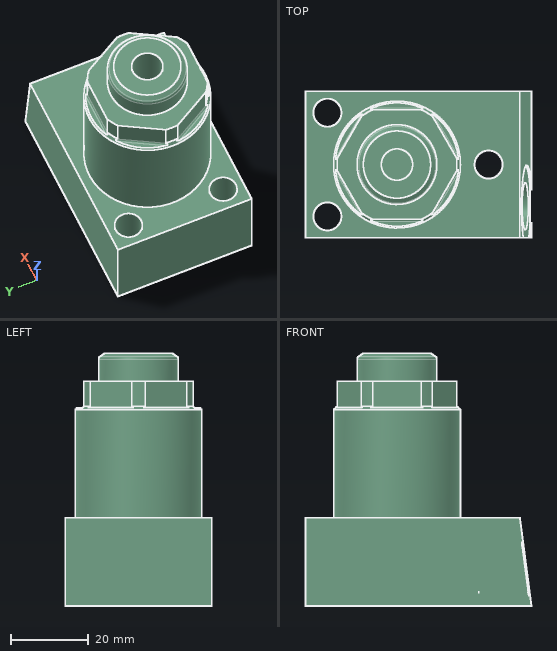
import cadquery as cq
import math

bottom_length = 58.7
top_length = 55.7
block_width = 38.1
block_height = 23.0
total_height = 65.7
slope_angle = math.degrees(math.atan2(bottom_length - top_length, block_height))
mid_width = block_width / 2

mount_diameter = 7.2
rear_hole_x = 5.7
rear_hole_offset = 13.45
front_hole_x = 47.55

axis_x = 23.8
barrel_radius = 16.5
barrel_top = 51.0
nut_radius = 15.55
nut_base = barrel_top + barrel_radius - nut_radius
nut_top = 58.4
boss_radius = 10.4
boss_edge_z = 64.05
cone_base_radius = 10.0
cone_base_z = 64.8
boss_top_radius = 8.75
edge_bulge_radius = 10.28
edge_bulge_z = 64.5
bore_diameter = 8.15
bore_depth = 19.7

flat_count = 6
flat_distance = 14.25
ledge_z = 51.4
ledge_round = 0.45

port_y = 8.2
port_z = 9.65
spot_radius = 10.65
spot_depth = 0.4
port_radius = 6.1
port_depth = 13.15


def make_block():
    return (
        cq.Workplane("XZ")
        .polyline([(0, 0), (bottom_length, 0), (top_length, block_height), (0, block_height)])
        .close()
        .extrude(-block_width)
    )


def make_turned_body():
    """Barrel, nut and boss revolved about the vertical axis."""
    profile = (
        cq.Workplane("XZ")
        .moveTo(0, 0)
        .lineTo(barrel_radius, 0)
        .lineTo(barrel_radius, barrel_top)
        .lineTo(nut_radius, nut_base)
        .lineTo(nut_radius, nut_top)
        .lineTo(boss_radius, nut_top)
        .lineTo(boss_radius, boss_edge_z)
        .threePointArc((edge_bulge_radius, edge_bulge_z), (cone_base_radius, cone_base_z))
        .lineTo(boss_top_radius, total_height)
        .lineTo(0, total_height)
        .close()
    )
    return profile.revolve(360, (0, 0, 0), (0, 1, 0))


def make_flat_cutter():
    """Cutter for one wrench flat, with a rounded foot above the ledge."""
    outer = barrel_radius + 0.65
    arc_middle = ledge_round * (1 - math.sqrt(0.5))
    return (
        cq.Workplane("YZ")
        .moveTo(flat_distance, nut_top)
        .lineTo(flat_distance, ledge_z + ledge_round)
        .threePointArc(
            (flat_distance + arc_middle, ledge_z + arc_middle),
            (flat_distance + ledge_round, ledge_z),
        )
        .lineTo(outer, ledge_z)
        .lineTo(outer, nut_top)
        .close()
        .extrude(barrel_radius, both=True)
    )


def make_body():
    body = make_turned_body()
    cutter = make_flat_cutter()
    for index in range(flat_count):
        body = body.cut(cutter.rotate((0, 0, 0), (0, 0, 1), index * 360 / flat_count))
    bore = cq.Workplane("XY").workplane(offset=total_height).circle(bore_diameter / 2).extrude(-bore_depth)
    return body.cut(bore).translate((axis_x, mid_width, 0))


def make_mount_holes():
    return (
        cq.Workplane("XY")
        .pushPoints([
            (rear_hole_x, mid_width - rear_hole_offset),
            (rear_hole_x, mid_width + rear_hole_offset),
            (front_hole_x, mid_width),
        ])
        .circle(mount_diameter / 2)
        .extrude(block_height)
    )


def make_port():
    """Spot face and blind hole, drilled inward from the sloped end."""
    slope = math.radians(slope_angle)
    outward = (math.cos(slope), 0, math.sin(slope))
    centre = (bottom_length - port_z * math.tan(slope), port_y, port_z)
    face = cq.Workplane(cq.Plane(origin=centre, xDir=(0, 1, 0), normal=outward))
    spot_face = face.circle(spot_radius).extrude(-spot_depth)
    return spot_face.union(face.circle(port_radius).extrude(-port_depth))


result = make_block().union(make_body()).cut(make_mount_holes()).cut(make_port())